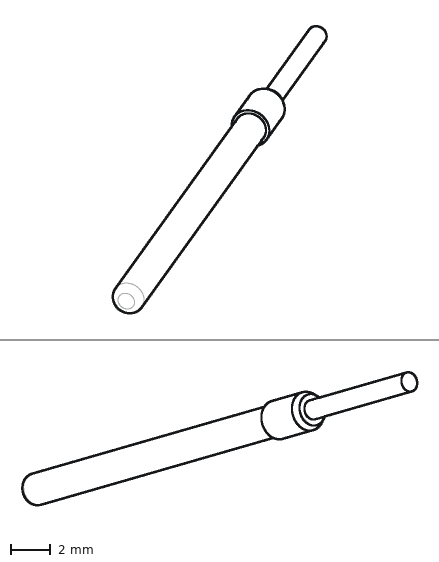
import cadquery as cq

total_length = 32.3
pin_length = 8.3
collar_length = 3.0

pin_radius = 1.0 / 2
collar_radius = 2.0 / 2
barrel_radius = 1.65 / 2

tip_radius = 0.4

taper_length = 0.4
taper_depth = 0.2

tip_y = -total_length / 2
pin_end_y = total_length / 2
pin_start_y = pin_end_y - pin_length
collar_start_y = pin_start_y - collar_length
taper_start_y = pin_start_y - taper_length

half_profile = (
    cq.Workplane("XY")
    .moveTo(0, tip_y)
    .lineTo(barrel_radius - tip_radius, tip_y)
    .tangentArcPoint((barrel_radius, tip_y + tip_radius), relative=False)
    .lineTo(barrel_radius, collar_start_y)
    .lineTo(collar_radius, collar_start_y)
    .lineTo(collar_radius, taper_start_y)
    .lineTo(collar_radius - taper_depth, pin_start_y)
    .lineTo(pin_radius, pin_start_y)
    .lineTo(pin_radius, pin_end_y)
    .lineTo(0, pin_end_y)
    .close()
)

result = half_profile.revolve(360, (0, 0, 0), (0, 1, 0))